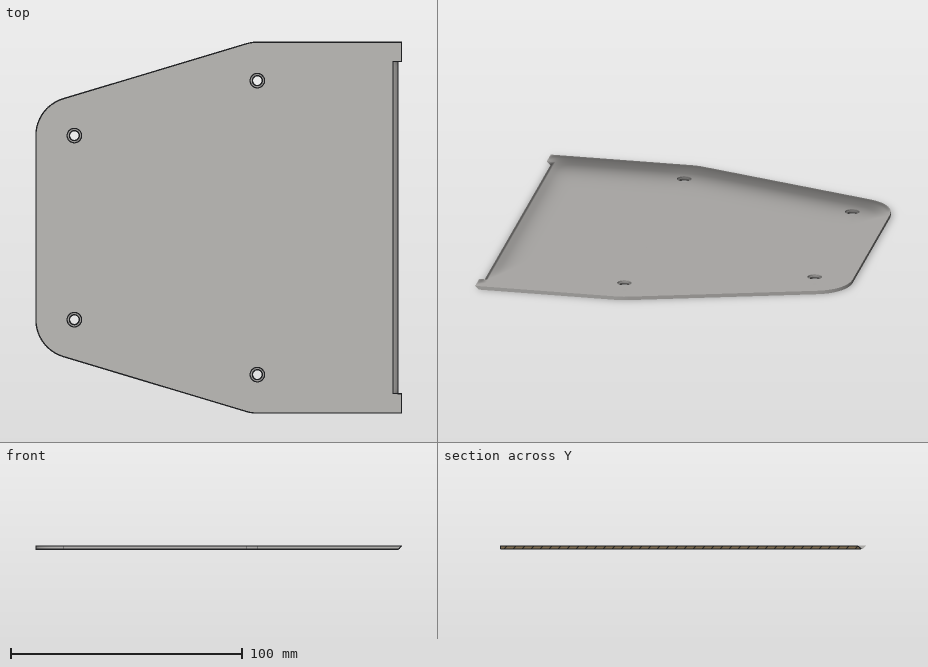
import cadquery as cq
import math

length = 157.9
width = 160.1
thickness = 1.6

corner_radius = 16.7
hole_spacing_x = 79.0
narrow_hole_y = 39.7
wide_hole_y = width / 2 - corner_radius
narrow_hole_x = corner_radius
wide_hole_x = narrow_hole_x + hole_spacing_x

hole_diameter = 4.2
counterbore_diameter = 6.2
counterbore_depth = 0.6

tab_width = 8.5
undercut = 1.6
bevel_run = 2.1


def make_plate():
    """Tapered plate whose sides are tangent to arcs around the hole centres."""
    taper_angle = math.atan2(wide_hole_y - narrow_hole_y, hole_spacing_x)

    def arc_point(center_x, center_y, angle):
        return (
            center_x + corner_radius * math.cos(angle),
            center_y + corner_radius * math.sin(angle),
        )

    side_normal = math.pi / 2 + taper_angle
    narrow_middle = (side_normal + math.pi) / 2
    wide_middle = (side_normal + math.pi / 2) / 2
    half_plate = (
        cq.Workplane("XY")
        .moveTo(0, 0)
        .lineTo(0, narrow_hole_y)
        .threePointArc(
            arc_point(narrow_hole_x, narrow_hole_y, narrow_middle),
            arc_point(narrow_hole_x, narrow_hole_y, side_normal),
        )
        .lineTo(*arc_point(wide_hole_x, wide_hole_y, side_normal))
        .threePointArc(
            arc_point(wide_hole_x, wide_hole_y, wide_middle),
            (wide_hole_x, width / 2),
        )
        .lineTo(length, width / 2)
        .lineTo(length, 0)
        .close()
        .extrude(thickness)
    )
    return half_plate.union(half_plate.mirror("XZ")).clean()


def edge_cutter(profile, cutter_width):
    """Prism along Y, centred on the plate, with the given XZ profile."""
    return cq.Workplane("XZ").polyline(profile).close().extrude(cutter_width / 2, both=True)


def shape_right_edge(plate):
    bottom_edge_x = length - undercut
    undercut_profile = [
        (bottom_edge_x, 0),
        (length, 0),
        (length, thickness),
    ]
    bevel_profile = undercut_profile + [(bottom_edge_x - bevel_run, thickness)]
    plate = plate.cut(edge_cutter(undercut_profile, width))
    return plate.cut(edge_cutter(bevel_profile, width - 2 * tab_width))


def drill_holes(plate):
    centers = [
        (x, side * y)
        for x, y in [(narrow_hole_x, narrow_hole_y), (wide_hole_x, wide_hole_y)]
        for side in (-1, 1)
    ]
    return (
        plate.faces(">Z")
        .workplane(origin=(0, 0, thickness))
        .pushPoints(centers)
        .cboreHole(hole_diameter, counterbore_diameter, counterbore_depth)
    )


result = drill_holes(shape_right_edge(make_plate()))